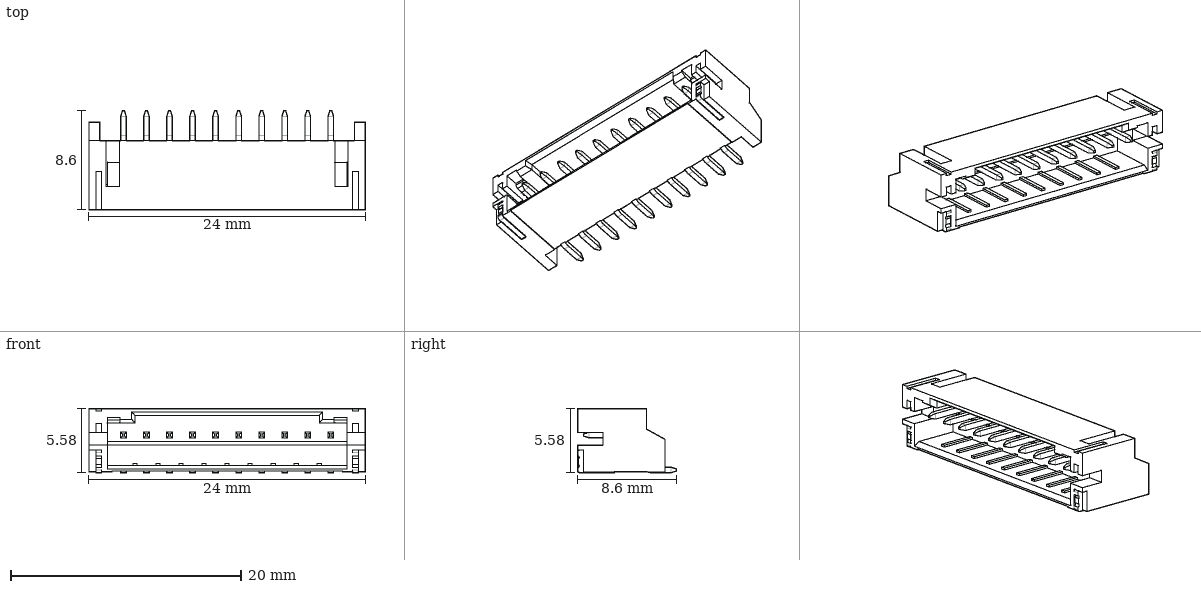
import cadquery as cq


half_width = 12.0
top_z = 5.58
foot_z = 0.09
belly_z = 0.16
belly_half_width = 10.0
body_depth = 6.0

ear_back = 7.6
ear_width = 0.95
ear_low_z = 2.91
ear_high_z = 3.8

cavity_half_width = 10.4
cavity_depth = 4.12
floor_z = 0.65
side_ceiling_z = 4.35
channel_half_width = 8.0
channel_ceiling_z = 5.0
lip_z = 0.33
lip_depth = 0.52
ceiling_flare = 0.3
ceiling_flare_depth = 0.5
undercut_top_z = 2.71
undercut_low_z = 2.4
undercut = 0.3

latch_inner_x = 9.35
latch_outer_x = 10.5
latch_front = 2.02
catch_inner_x = 9.3
catch_top_z = 4.8
catch_edge_z = 4.58
catch_depth = 1.2
catch_slope_depth = 0.22

notch_depth = 2.2
notch_low_z = 2.4
notch_high_z = 3.5

tab_inner_x = 10.9
tab_outer_x = 11.4
slot_depth = 3.3
top_slot_height = 0.2
arm_slot_top_z = 4.29
tab_thickness = 0.5
tab_height = 1.97
tab_foot_length = 3.2
tab_top_radius = 0.2
tab_bottom_radius = 0.23
groove_depth = 0.145
tab_step = 0.07
upper_groove = (1.24, 1.46)
lower_groove = (0.45, 0.74)

pin_count = 10
pitch = 2.0
pin_size = 0.5
pin_z = 3.28
pin_front = 0.5
pin_back = 8.6
pin_taper = 0.5
pin_tip = 0.19
bend_radius = 0.43

rib_width = 0.36
rib_height = 0.17
rib_front = 1.22


def box(x0, x1, y0, y1, z0, z1):
    """Axis-aligned block between the given limits."""
    return cq.Workplane("XY").box(x1 - x0, y1 - y0, z1 - z0, centered=False).translate((x0, y0, z0))


def extrude_x(outline, x0, x1):
    """Extrude a closed (Y, Z) sketch from x0 to x1."""
    return outline.extrude(x1 - x0).translate((x0, 0, 0))


def prism_x(points, x0, x1):
    """Prism along X with the polygon of (Y, Z) points as its section."""
    return extrude_x(cq.Workplane("YZ").polyline(points).close(), x0, x1)


def both_ends(shape):
    """The shape at the +X end together with its mirror image at the -X end."""
    return shape.union(shape.mirror("YZ"))


def make_shell():
    shell = box(-half_width, half_width, 0, body_depth, foot_z, top_z)
    ear = prism_x(
        [
            (body_depth, foot_z),
            (ear_back, foot_z),
            (ear_back, ear_low_z),
            (body_depth, ear_high_z),
        ],
        half_width - ear_width,
        half_width,
    )
    belly_gap = box(-belly_half_width, belly_half_width, 0, body_depth, foot_z, belly_z)
    return shell.union(both_ends(ear)).cut(belly_gap)


def make_cavity():
    """Stepped cavity with a flared mouth and an undercut back wall."""
    main = prism_x(
        [
            (0, lip_z),
            (lip_depth, floor_z),
            (cavity_depth + undercut, floor_z),
            (cavity_depth + undercut, undercut_low_z),
            (cavity_depth, undercut_top_z),
            (cavity_depth, side_ceiling_z),
            (ceiling_flare_depth, side_ceiling_z),
            (0, side_ceiling_z + ceiling_flare),
        ],
        -cavity_half_width,
        cavity_half_width,
    )
    channel = box(
        -channel_half_width, channel_half_width, 0, cavity_depth, pin_z, channel_ceiling_z
    )
    mouth_height = channel_ceiling_z + ceiling_flare - pin_z
    channel_height = channel_ceiling_z - pin_z
    channel_flare = (
        cq.Workplane("XZ", origin=(0, 0, pin_z))
        .center(0, mouth_height / 2)
        .rect(2 * (channel_half_width + ceiling_flare), mouth_height)
        .workplane(offset=-ceiling_flare_depth)
        .center(0, (channel_height - mouth_height) / 2)
        .rect(2 * channel_half_width, channel_height)
        .loft(ruled=True)
    )
    return main.union(channel).union(channel_flare)


def make_latch():
    """Roof pocket open to the rear, and the sloped catch recess ahead of it."""
    pocket = box(latch_inner_x, latch_outer_x, latch_front, body_depth, side_ceiling_z, top_z)
    catch = prism_x(
        [
            (0, side_ceiling_z),
            (0, catch_top_z),
            (catch_depth, catch_top_z),
            (catch_depth, catch_edge_z),
            (catch_depth + catch_slope_depth, side_ceiling_z),
        ],
        catch_inner_x,
        cavity_half_width,
    )
    return pocket.union(catch)


def make_end_cuts():
    """Notch through the end wall, tab slots above it and tab recess below it."""
    notch = box(cavity_half_width, half_width, 0, notch_depth, notch_low_z, notch_high_z)
    top_slot = box(tab_inner_x, tab_outer_x, 0, slot_depth, top_z - top_slot_height, top_z)
    arm_slot = box(tab_inner_x, tab_outer_x, 0, slot_depth, notch_high_z, arm_slot_top_z)
    recess = box(tab_inner_x, half_width, 0, tab_thickness, foot_z, tab_height)
    return notch.union(top_slot).union(arm_slot).union(recess)


def make_tab():
    """Solder tab: L-shaped strip with two rounded grooves in its front face."""
    upper_low, upper_high = upper_groove
    lower_low, lower_high = lower_groove
    outline = (
        cq.Workplane("YZ")
        .moveTo(tab_bottom_radius, 0)
        .radiusArc((0, tab_bottom_radius), tab_bottom_radius)
        .lineTo(0, lower_low)
        .threePointArc((groove_depth, (lower_low + lower_high) / 2), (tab_step, lower_high))
        .lineTo(tab_step, upper_low)
        .threePointArc((groove_depth, (upper_low + upper_high) / 2), (0, upper_high))
        .lineTo(0, tab_height - tab_top_radius)
        .radiusArc((tab_top_radius, tab_height), tab_top_radius)
        .lineTo(tab_thickness, tab_height)
        .lineTo(tab_thickness, foot_z)
        .lineTo(tab_foot_length, foot_z)
        .lineTo(tab_foot_length, 0)
        .close()
    )
    return extrude_x(outline, tab_inner_x, tab_outer_x)


def make_tip(start_y, end_y, z):
    """Four-sided taper from the full pin section to its blunt end."""
    return (
        cq.Workplane("XZ", origin=(0, start_y, z))
        .rect(pin_size, pin_size)
        .workplane(offset=start_y - end_y)
        .rect(pin_tip, pin_tip)
        .loft(ruled=True)
    )


def make_pin():
    """Pin centred on X = 0: mating blade, hidden upright leg and solder foot."""
    half = pin_size / 2
    leg_front = body_depth - pin_size
    blade_low = pin_z - half
    blade_high = pin_z + half
    bend_y = body_depth + bend_radius
    outer_radius = bend_radius + pin_size
    blade_start = pin_front + pin_taper
    foot_end = pin_back - pin_taper
    outline = (
        cq.Workplane("YZ")
        .moveTo(blade_start, blade_low)
        .lineTo(leg_front, blade_low)
        .lineTo(leg_front, outer_radius)
        .radiusArc((bend_y, 0), -outer_radius)
        .lineTo(foot_end, 0)
        .lineTo(foot_end, pin_size)
        .lineTo(bend_y, pin_size)
        .radiusArc((body_depth, outer_radius), bend_radius)
        .lineTo(body_depth, blade_high)
        .lineTo(blade_start, blade_high)
        .close()
    )
    bent_bar = extrude_x(outline, -half, half)
    blade_tip = make_tip(blade_start, pin_front, pin_z)
    foot_tip = make_tip(foot_end, pin_back, half)
    return bent_bar.union(blade_tip).union(foot_tip)


def add_row(body, shape, count):
    """The body with copies of the shape at the pin pitch, centred on X = 0."""
    for index in range(count):
        x = (index - (count - 1) / 2) * pitch
        body = body.union(shape.translate((x, 0, 0)))
    return body


def make_rib():
    """Low rib on the cavity floor, running forward from the back wall."""
    half = rib_width / 2
    return box(-half, half, rib_front, cavity_depth + undercut, floor_z, floor_z + rib_height)


housing = make_shell().cut(make_cavity())
housing = housing.cut(both_ends(make_latch()))
housing = housing.cut(both_ends(make_end_cuts()))
housing = housing.union(both_ends(make_tab()))
housing = add_row(housing, make_rib(), pin_count - 1)
result = add_row(housing, make_pin(), pin_count)